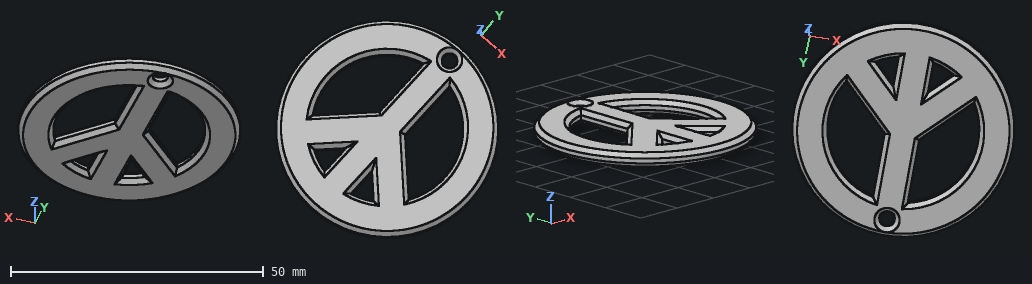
import cadquery as cq
import math

outer_radius = 22.0
thickness = 3.0
edge_chamfer = 1.0
window_radius = 15.0
bar_width = 7.0
arm_angle = 45.0
hole_diameter = 3.0

half_bar = bar_width / 2
arm = math.radians(arm_angle)
countersink_radius = hole_diameter / 2 + edge_chamfer
hole_y = outer_radius - edge_chamfer - countersink_radius


def window_corner(start_angle, end_angle):
    """Corner where two bar sides meet; angles are counter-clockwise from +X."""
    half_gap = (end_angle - start_angle) / 2
    middle = (start_angle + end_angle) / 2
    reach = half_bar / math.sin(half_gap)
    return reach * math.cos(middle), reach * math.sin(middle)


def rim_point(bar_angle, side):
    """Point where one side of a bar meets the rim; side is +1 or -1."""
    angle = bar_angle + side * math.asin(half_bar / window_radius)
    return window_radius * math.cos(angle), window_radius * math.sin(angle)


def window(start_angle, end_angle):
    """Sector opening between two bars."""
    middle = (start_angle + end_angle) / 2
    rim_middle = (window_radius * math.cos(middle), window_radius * math.sin(middle))
    return (
        cq.Workplane("XY")
        .moveTo(*window_corner(start_angle, end_angle))
        .lineTo(*rim_point(start_angle, 1))
        .threePointArc(rim_middle, rim_point(end_angle, -1))
        .close()
        .extrude(thickness)
    )


def hanging_hole():
    """Round hole with a countersink at both faces, as one turned cutter."""
    inner = hole_diameter / 2
    half_profile = [
        (0, 0),
        (countersink_radius, 0),
        (inner, edge_chamfer),
        (inner, thickness - edge_chamfer),
        (countersink_radius, thickness),
        (0, thickness),
    ]
    cutter = cq.Workplane("XZ").polyline(half_profile).close().revolve(360, (0, 0), (0, 1))
    return cutter.translate((0, hole_y, 0))


def pendant():
    """Chamfered disc with four sector windows and the hanging hole."""
    up = math.pi / 2
    down = up + math.pi
    bar_angles = [up, down - arm, down, down + arm, up + 2 * math.pi]
    body = cq.Workplane("XY").circle(outer_radius).extrude(thickness)
    for start_angle, end_angle in zip(bar_angles, bar_angles[1:]):
        body = body.cut(window(start_angle, end_angle))
    body = body.faces("|Z").edges().chamfer(edge_chamfer)
    return body.cut(hanging_hole())


result = pendant()